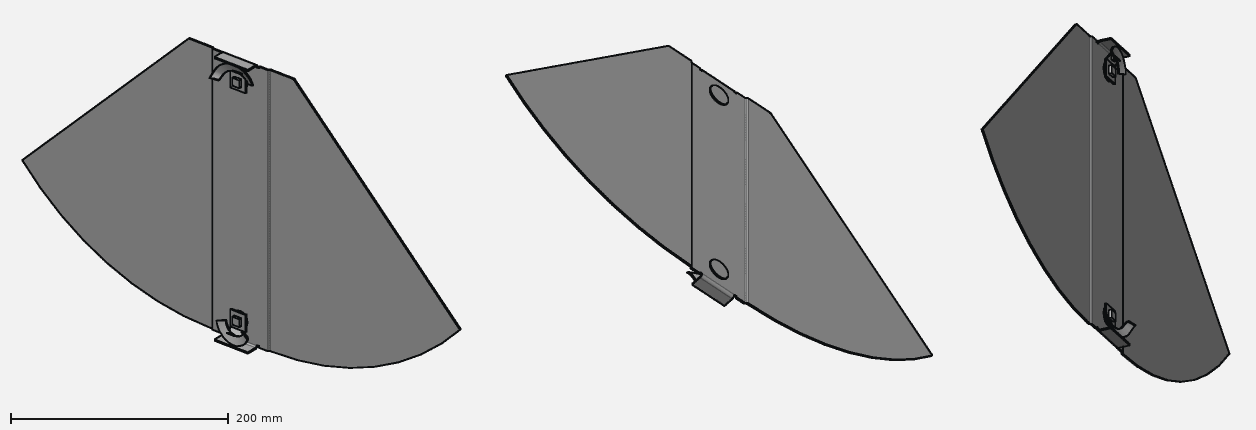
import cadquery as cq
import math

sheet = 1.5

wing_tip_x = 257.5
arc_centre_x = 36.0
arc_radius = 295.5
jog_outer_x = 34.5
jog_inner_x = 32.0

overall_height = 298.5
flange_half_width = 19.5
flange_front_y = -16.0
bend_radius = 3.0
relief_width = 2.5

stud_z = 125.5
stud_pad = 18.0
stud_collar_front_y = -4.5
stud_pad_front_y = -6.0
stud_tip = 8.0
stud_tip_front_y = -9.5
stud_shank_radius = 6.0
stud_head_radius = 11.0

clip_sheet = 1.5
clip_inner_radius = 13.5
clip_outer_radius = 21.5
clip_dish = 0.37
clip_mid_y = -14.5
clip_tip_y = -21.0
clip_ramp = 2.3
clip_start_angle = 14.0
clip_bend_angle = 148.0
clip_end_angle = 172.0
clip_section_step = 6.0
neck_half_width = 9.0
neck_reach = 0.5

flange_z = overall_height / 2
flange_inner_z = flange_z - sheet
sheet_top_z = arc_radius / 2
sheet_bottom_z = -arc_radius / 2
wing_drop = math.sqrt(arc_radius ** 2 - (wing_tip_x - arc_centre_x) ** 2)
wing_tip_z = sheet_top_z - wing_drop
wing_top_x = wing_tip_x - wing_drop
strip_back_y = -sheet
strip_front_y = -2 * sheet


def box(x0, x1, y0, y1, z0, z1):
    return cq.Workplane("XY").box(x1 - x0, y1 - y0, z1 - z0, centered=False).translate((x0, y0, z0))


def both_ends(upper):
    """The upper body and the same body turned half a turn about the Y axis."""
    return [upper.rotate((0, 0, 0), (0, 1, 0), angle) for angle in (0, 180)]


def sheet_section():
    """Jogged strip section in XY, extruded over the whole sheet height."""
    jog_mid_x = (jog_outer_x + jog_inner_x) / 2

    def jogged_line(path, direction, y):
        """Run from one wing tip to the other, each jog an S of two arcs."""
        return (
            path.lineTo(-direction * jog_outer_x, y)
            .tangentArcPoint((-direction * jog_mid_x, y - sheet / 2), relative=False)
            .tangentArcPoint((-direction * jog_inner_x, y - sheet), relative=False)
            .lineTo(direction * jog_inner_x, y - sheet)
            .tangentArcPoint((direction * jog_mid_x, y - sheet / 2), relative=False)
            .tangentArcPoint((direction * jog_outer_x, y), relative=False)
            .lineTo(direction * wing_tip_x, y)
        )

    back = jogged_line(cq.Workplane("XY").moveTo(-wing_tip_x, 0), 1, 0)
    section = jogged_line(back.lineTo(wing_tip_x, -sheet), -1, -sheet).close()
    return section.extrude(arc_radius).translate((0, 0, sheet_bottom_z))


def sheet_outline():
    """Outline in XZ: level top, 45 degree sides and an arc under each wing."""
    arc_start = math.asin(wing_drop / arc_radius)
    arc_mid = (arc_start + math.pi / 2) / 2
    mid_x = arc_centre_x + arc_radius * math.cos(arc_mid)
    mid_z = sheet_top_z - arc_radius * math.sin(arc_mid)
    outline = (
        cq.Workplane("XZ")
        .moveTo(-wing_top_x, sheet_top_z)
        .lineTo(wing_top_x, sheet_top_z)
        .lineTo(wing_tip_x, wing_tip_z)
        .threePointArc((mid_x, mid_z), (arc_centre_x, sheet_bottom_z))
        .lineTo(-arc_centre_x, sheet_bottom_z)
        .threePointArc((-mid_x, mid_z), (-wing_tip_x, wing_tip_z))
        .close()
    )
    return outline.extrude(strip_front_y, both=True)


def relief_notches():
    reach = flange_half_width + relief_width
    bend_start_z = flange_z - bend_radius
    return box(-reach, reach, strip_front_y, strip_back_y, bend_start_z, flange_z)


def bent_flange():
    """Flange folded forward from the strip through a rounded bend."""
    bend_start_z = flange_z - bend_radius
    bend_y = strip_back_y - bend_radius
    inner_radius = bend_radius - sheet
    diagonal = math.sqrt(0.5)
    profile = (
        cq.Workplane("YZ")
        .moveTo(strip_back_y, bend_start_z)
        .threePointArc((bend_y + bend_radius * diagonal, bend_start_z + bend_radius * diagonal),
                       (bend_y, flange_z))
        .lineTo(flange_front_y, flange_z)
        .lineTo(flange_front_y, flange_inner_z)
        .lineTo(bend_y, flange_inner_z)
        .threePointArc((bend_y + inner_radius * diagonal, bend_start_z + inner_radius * diagonal),
                       (strip_front_y, bend_start_z))
        .close()
    )
    return profile.extrude(flange_half_width, both=True)


def make_deflector():
    body = sheet_section().intersect(sheet_outline())
    for notches in both_ends(relief_notches()):
        body = body.cut(notches)
    for flange in both_ends(bent_flange()):
        body = body.union(flange)
    for z in (-stud_z, stud_z):
        hole = cq.Workplane("XZ").center(0, z).circle(stud_shank_radius).extrude(strip_front_y, both=True)
        body = body.cut(hole)
    return body


def make_stud():
    def square(side, y0, y1):
        return box(-side / 2, side / 2, y0, y1, stud_z - side / 2, stud_z + side / 2)

    head = cq.Workplane("XZ").center(0, stud_z).circle(stud_head_radius).extrude(-strip_back_y)
    shank = cq.Workplane("XZ").center(0, stud_z).circle(stud_shank_radius).extrude(-strip_front_y)
    collar = cq.Workplane("XZ", origin=(0, strip_front_y, stud_z)).circle(stud_pad / 2)
    collar = collar.extrude(strip_front_y - stud_collar_front_y)
    pad = square(stud_pad, stud_pad_front_y, stud_collar_front_y)
    tip = square(stud_tip, stud_tip_front_y, stud_pad_front_y)
    return head.union(shank).union(collar).union(pad).union(tip)


def clip_front_y(radius, angle):
    """Y of the front face at a radius and an angle (degrees) around the stud."""
    ramp = clip_ramp * math.radians(angle - 90)
    bend = 0
    if angle > clip_bend_angle:
        ramp_at_tip = clip_ramp * math.radians(clip_end_angle - 90)
        bend_at_tip = clip_mid_y - ramp_at_tip - clip_tip_y
        along = (angle - clip_bend_angle) / (clip_end_angle - clip_bend_angle)
        bend = bend_at_tip * along ** 2
    return clip_mid_y + clip_dish * (clip_outer_radius - radius) - ramp - bend


def clip_section(angle):
    across = math.cos(math.radians(angle))
    up = math.sin(math.radians(angle))
    inner_y = clip_front_y(clip_inner_radius, angle)
    outer_y = clip_front_y(clip_outer_radius, angle)
    corners = [
        (clip_inner_radius, inner_y),
        (clip_outer_radius, outer_y),
        (clip_outer_radius, outer_y + clip_sheet),
        (clip_inner_radius, inner_y + clip_sheet),
    ]
    points = [cq.Vector(radius * across, y, stud_z + radius * up) for radius, y in corners]
    return cq.Wire.makePolygon(points, close=True)


def clip_ring():
    count = round((clip_end_angle - clip_start_angle) / clip_section_step)
    step = (clip_end_angle - clip_start_angle) / count
    sections = [clip_section(clip_start_angle + step * i) for i in range(count + 1)]
    return cq.Workplane(cq.Solid.makeLoft(sections))


def clip_neck():
    foot_z = stud_z + stud_pad / 2
    ring_radius = clip_inner_radius + neck_reach
    ring_y = clip_front_y(ring_radius, 90)
    ring_z = stud_z + ring_radius
    profile = cq.Workplane("YZ").polyline([
        (stud_pad_front_y, foot_z),
        (ring_y, ring_z),
        (ring_y + clip_sheet, ring_z),
        (stud_collar_front_y, foot_z),
    ]).close()
    return profile.extrude(neck_half_width, both=True)


def make_clip():
    return clip_ring().union(clip_neck())


deflector = make_deflector()
studs = both_ends(make_stud())
clips = both_ends(make_clip())

result = cq.Compound.makeCompound(
    [deflector.val()] + [stud.val() for stud in studs] + [clip.val() for clip in clips]
)